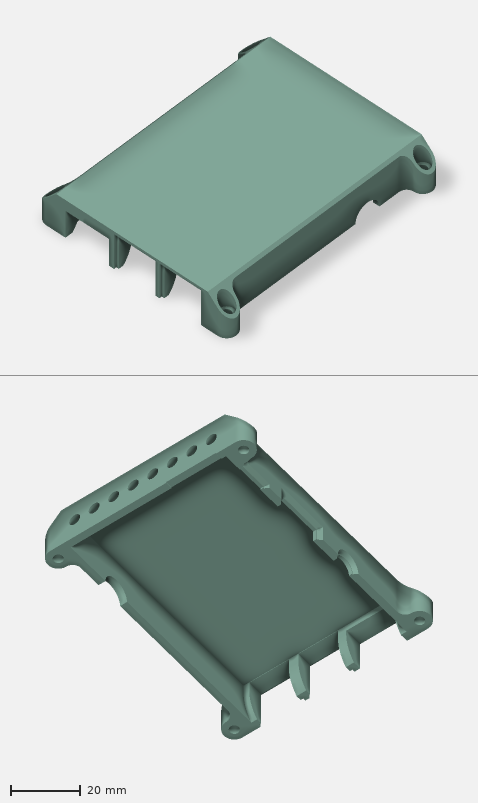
import cadquery as cq

LENGTH = 90.6
WIDTH = 75.6
HEIGHT = 15.0

BODY_HALF_WIDTH = 31.0
WALL = 2.5
ROOF = 2.0
TOP_HALF_WIDTH = 30.0
CEILING = HEIGHT - ROOF
CUT_MARGIN = 9.1

LUG_RADIUS = 3.8
LUG_X = WIDTH / 2 - LUG_RADIUS
LUG_Y = LENGTH / 2 - LUG_RADIUS
LUG_BLEND_RADIUS = LUG_X - BODY_HALF_WIDTH
SCREW_DIAMETER = 3.3
HEAD_DIAMETER = 5.6
HEAD_SEAT_Z = 6.5

FRONT_WALL_FOOT = 2.9
FRONT_BULGE_RADIUS = 12.7
FRONT_BULGE_Z = 8.9

ETHERNET_X = -17.8
ETHERNET_WIDTH = 17.2
ETHERNET_HEIGHT = 10.7
USB_POSITIONS = (1.1, 19.1)
USB_WIDTH = 14.5
USB_HEIGHT = 12.9
USB_RIM = 1.0
USB_RECESS_DEPTH = 1.0

FLARE_DEPTH = 1.4
FLARE_STEP = 0.3
HDMI_Y = 10.0
HDMI_WIDTH = 16.8
HDMI_HEIGHT = 4.2
HDMI_FLARE = 1.2
POWER_Y = 31.35
POWER_WIDTH = 9.6
POWER_HEIGHT = 0.45
POWER_FLARE = 0.9
AUDIO_Y = -11.6
AUDIO_RADIUS = 3.6
AUDIO_FLARE = 0.9

SIDE_NOTCH_Y = 21.3
SIDE_NOTCH_RADIUS = 5.1

VENT_DIAMETER = 4.0
VENT_COUNT = 8
VENT_PITCH = 7.2
VENT_Z = HEIGHT / 2
BACK_NOTCH_LEFT = -26.8
BACK_NOTCH_RIGHT = -8.5
BACK_NOTCH_HEIGHT = 0.4


def box(x0, x1, y0, y1, z0, z1):
    """Axis-aligned block between two opposite corners."""
    return cq.Workplane("XY").box(x1 - x0, y1 - y0, z1 - z0, centered=False).translate((x0, y0, z0))


def make_outer_block():
    """Solid body with four blended lugs and 45 degree bevels along both long top edges."""
    block = cq.Workplane("XY").box(2 * BODY_HALF_WIDTH, LENGTH, HEIGHT, centered=(True, True, False))
    for y in (-LUG_Y, LUG_Y):
        bar = cq.Workplane("XY").center(0, y).slot2D(WIDTH, 2 * LUG_RADIUS).extrude(HEIGHT)
        square_bar = cq.Workplane("XY").center(0, y).rect(2 * LUG_X, 2 * LUG_RADIUS).extrude(HEIGHT)
        block = block.union(bar).union(square_bar)
    inner_y = LUG_Y - LUG_RADIUS
    for side_x in (-1, 1):
        for side_y in (-1, 1):
            blend = (
                cq.Workplane("XY")
                .moveTo(side_x * BODY_HALF_WIDTH, side_y * inner_y)
                .lineTo(side_x * LUG_X, side_y * inner_y)
                .radiusArc(
                    (side_x * BODY_HALF_WIDTH, side_y * (inner_y - LUG_BLEND_RADIUS)),
                    -side_x * side_y * LUG_BLEND_RADIUS,
                )
                .close()
                .extrude(HEIGHT)
            )
            block = block.union(blend)
    half_width = WIDTH / 2
    bevelled = (
        cq.Workplane("XZ", origin=(0, LENGTH / 2, 0))
        .polyline([
            (-half_width, 0),
            (half_width, 0),
            (half_width, HEIGHT - (half_width - TOP_HALF_WIDTH)),
            (TOP_HALF_WIDTH, HEIGHT),
            (-TOP_HALF_WIDTH, HEIGHT),
            (-half_width, HEIGHT - (half_width - TOP_HALF_WIDTH)),
        ])
        .close()
        .extrude(LENGTH)
    )
    return block.intersect(bevelled)


def make_cavity():
    """Inner space, open below, drawn in the YZ plane and swept across the width."""
    half_width = BODY_HALF_WIDTH - WALL
    foot_y = -LENGTH / 2 + FRONT_WALL_FOOT
    arc_run = FRONT_BULGE_RADIUS - (FRONT_BULGE_RADIUS ** 2 - FRONT_BULGE_Z ** 2) ** 0.5
    bulge_y = foot_y + arc_run
    back_y = LENGTH / 2 - WALL
    return (
        cq.Workplane("YZ", origin=(-half_width, 0, 0))
        .moveTo(foot_y, 0)
        .radiusArc((bulge_y, FRONT_BULGE_Z), -FRONT_BULGE_RADIUS)
        .lineTo(bulge_y, CEILING)
        .lineTo(back_y, CEILING)
        .lineTo(back_y, 0)
        .close()
        .extrude(2 * half_width)
    )


def make_screw_holes():
    """Through holes with deep screw-head counterbores, one per lug."""
    centres = [(x, y) for x in (-LUG_X, LUG_X) for y in (-LUG_Y, LUG_Y)]
    shanks = cq.Workplane("XY").pushPoints(centres).circle(SCREW_DIAMETER / 2).extrude(HEIGHT)
    heads = (
        cq.Workplane("XY", origin=(0, 0, HEAD_SEAT_Z))
        .pushPoints(centres)
        .circle(HEAD_DIAMETER / 2)
        .extrude(HEIGHT - HEAD_SEAT_Z)
    )
    return shanks.union(heads)


def make_front_openings():
    """One plain opening and two openings with a shallow stepped rim."""
    front_y = -LENGTH / 2
    through_y = front_y + CUT_MARGIN
    half = ETHERNET_WIDTH / 2
    cutter = box(ETHERNET_X - half, ETHERNET_X + half, front_y, through_y, 0, ETHERNET_HEIGHT)
    for x in USB_POSITIONS:
        half = USB_WIDTH / 2
        rim_half = half + USB_RIM
        cutter = cutter.union(box(x - half, x + half, front_y, through_y, 0, USB_HEIGHT))
        cutter = cutter.union(
            box(x - rim_half, x + rim_half, front_y, front_y + USB_RECESS_DEPTH, 0, USB_HEIGHT + USB_RIM)
        )
    return cutter


def flared_slot(y, width, height, flare):
    """Rectangular opening in the left wall that widens towards the outside."""
    outer_x = -BODY_HALF_WIDTH
    step_width = width + 2 * FLARE_STEP
    step_height = height + FLARE_STEP
    outer_width = step_width + 2 * flare
    outer_height = step_height + flare
    throat = box(outer_x, outer_x + WALL, y - width / 2, y + width / 2, 0, height)
    taper = (
        cq.Workplane("YZ", origin=(outer_x, y, 0))
        .rect(outer_width, 2 * outer_height)
        .workplane(offset=FLARE_DEPTH)
        .rect(step_width, 2 * step_height)
        .loft()
    )
    mouth = box(
        outer_x - LUG_BLEND_RADIUS, outer_x, y - outer_width / 2, y + outer_width / 2, 0, outer_height
    )
    return throat.union(taper).union(mouth)


def make_left_openings():
    """Two flared slots and a flared half-round opening in the left wall."""
    outer_x = -BODY_HALF_WIDTH
    slots = flared_slot(HDMI_Y, HDMI_WIDTH, HDMI_HEIGHT, HDMI_FLARE).union(
        flared_slot(POWER_Y, POWER_WIDTH, POWER_HEIGHT, POWER_FLARE)
    )
    step_radius = AUDIO_RADIUS + FLARE_STEP
    audio_throat = cq.Workplane("YZ", origin=(outer_x, AUDIO_Y, 0)).circle(AUDIO_RADIUS).extrude(WALL)
    audio_taper = (
        cq.Workplane("YZ", origin=(outer_x, AUDIO_Y, 0))
        .circle(step_radius + AUDIO_FLARE)
        .workplane(offset=FLARE_DEPTH)
        .circle(step_radius)
        .loft()
    )
    return slots.union(audio_throat).union(audio_taper)


def make_right_notch():
    """Half-round notch through the right wall, centred on the bottom edge."""
    return (
        cq.Workplane("YZ", origin=(BODY_HALF_WIDTH - WALL, SIDE_NOTCH_Y, 0))
        .circle(SIDE_NOTCH_RADIUS)
        .extrude(WALL)
    )


def make_back_openings():
    """Row of round vents and the shallow bottom notch through the back wall."""
    back_y = LENGTH / 2
    vents = (
        cq.Workplane("XZ", origin=(0, back_y, VENT_Z))
        .rarray(VENT_PITCH, 0.9, VENT_COUNT, 1)
        .circle(VENT_DIAMETER / 2)
        .extrude(WALL)
    )
    notch = box(BACK_NOTCH_LEFT, BACK_NOTCH_RIGHT, back_y - WALL, back_y, 0, BACK_NOTCH_HEIGHT)
    return vents.union(notch)


result = (
    make_outer_block()
    .cut(make_cavity())
    .cut(make_screw_holes())
    .cut(make_front_openings())
    .cut(make_left_openings())
    .cut(make_right_notch())
    .cut(make_back_openings())
)